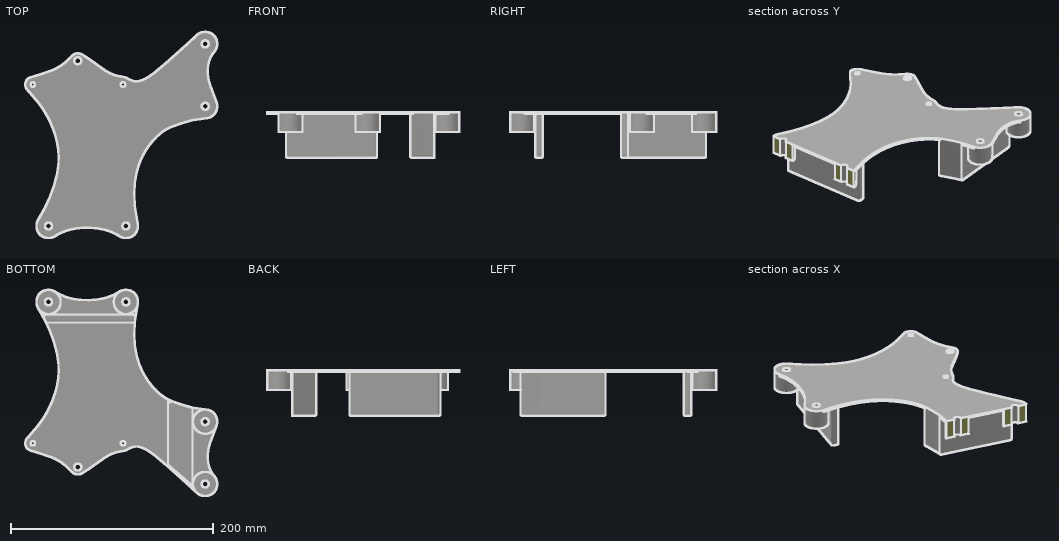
import cadquery as cq
import math

total_height = 45.3
plate_thickness = 2.0
boss_height = 20.0
plate_bottom = total_height - plate_thickness

boss_radius = 12.0
lobe_radius = 7.5
boss_hole_diameter = 6.7
small_hole_diameter = 4.3

lower_left = (0, 0)
lower_right = (76.5, 0)
arm_lower = (155.0, 118.4)
arm_upper = (155.0, 180.0)
small_middle = (73.7, 139.8)
small_top = (29.0, 163.3)
small_left = (-15.5, 139.8)
boss_centres = [lower_left, lower_right, arm_lower, arm_upper]

wall_left = -4.5
wall_right = 85.7
wall_front = 12.7
wall_thickness = 7.8

block_left = 118.4
block_right = 142.3
block_back_left = 161.2
block_back_right = 181.9

edge_radius = 1.8

upright_edges = ">>Z[-2]"

lobes = [
    (lower_left, boss_radius, 147, 303, [(38.4, -1.8)]),
    (lower_right, boss_radius, 237, 372,
     [(85.0, 30.8), (89.5, 60.5), (105.1, 86.3), (120.2, 97.4), (130.5, 101.0)]),
    (arm_lower, boss_radius, 276, 381, [(157.5, 154.0)]),
    (arm_upper, boss_radius, 318, 495,
     [(127.2, 171.0), (106.1, 152.7), (94.0, 145.0), (86.7, 143.0)]),
    (small_middle, lobe_radius, 58, 80, [(65.7, 149.2), (52.9, 156.0)]),
    (small_top, lobe_radius, 60, 138, [(8.5, 156.3)]),
    (small_left, lobe_radius, 109, 217,
     [(-14.0, 126.8), (-1.2, 108.4), (10.0, 66.0), (5.0, 38.4), (-4.5, 16.3)]),
]


def on_circle(centre, radius, degrees):
    angle = math.radians(degrees)
    return (centre[0] + radius * math.cos(angle), centre[1] + radius * math.sin(angle))


def travel_direction(degrees):
    """Counter-clockwise tangent of a circle at the given angle."""
    return on_circle((0, 0), 1, degrees + 90)


def plate_prism(bottom, height):
    """Extrude the plate outline: lobe arcs joined by tangent splines."""
    centre, radius, start, _, _ = lobes[0]
    outline = cq.Workplane("XY", origin=(0, 0, bottom)).moveTo(*on_circle(centre, radius, start))
    for index, (centre, radius, start, end, guides) in enumerate(lobes):
        next_centre, next_radius, next_start, _, _ = lobes[(index + 1) % len(lobes)]
        outline = outline.threePointArc(
            on_circle(centre, radius, (start + end) / 2),
            on_circle(centre, radius, end),
        )
        outline = outline.spline(
            guides + [on_circle(next_centre, next_radius, next_start)],
            tangents=[travel_direction(end), travel_direction(next_start)],
            includeCurrent=True,
        )
    return outline.close().extrude(height)


def straight_wall():
    wall = (
        cq.Workplane("XY")
        .box(wall_right - wall_left, wall_thickness, total_height, centered=False)
        .translate((wall_left, wall_front, 0))
        .intersect(plate_prism(0, total_height))
    )
    wall = wall.edges(upright_edges).fillet(edge_radius)
    return wall.faces("<Z").edges().fillet(edge_radius)


def arm_block():
    block = (
        cq.Workplane("XY")
        .moveTo(block_left, 0)
        .lineTo(block_right, 0)
        .lineTo(block_right, block_back_right)
        .lineTo(block_left, block_back_left)
        .close()
        .extrude(total_height)
        .intersect(plate_prism(0, total_height))
    )
    block = block.edges(upright_edges).edges("not >X").fillet(edge_radius)
    return block.faces("<Z").edges("not >X").fillet(edge_radius)


def holes(centres, diameter):
    return cq.Workplane("XY").pushPoints(centres).circle(diameter / 2).extrude(total_height)


bosses = (
    cq.Workplane("XY", origin=(0, 0, total_height - boss_height))
    .pushPoints(boss_centres)
    .circle(boss_radius)
    .extrude(boss_height)
)

result = (
    plate_prism(plate_bottom, plate_thickness)
    .union(bosses)
    .union(straight_wall())
    .union(arm_block())
    .cut(holes(boss_centres + [small_top], boss_hole_diameter))
    .cut(holes([small_middle, small_left], small_hole_diameter))
)